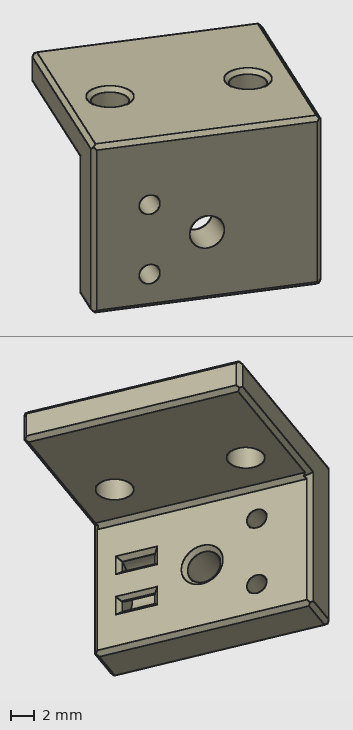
import cadquery as cq

LENGTH_X = 18.49
WIDTH_Y = 20.0
HEIGHT_Z = 15.8
PLATE_THICKNESS = 3.0
WALL_THICKNESS = 4.0
BREAK = 0.4

WALL_FACE_X = LENGTH_X - WALL_THICKNESS
WALL_MID_Z = -(PLATE_THICKNESS + HEIGHT_Z) / 2

PLATE_HOLE_DIAMETER = 3.2
PLATE_HOLE_X = 10.0
PLATE_HOLE_SPACING = 12.0

CENTRE_HOLE_DIAMETER = 3.0
SMALL_HOLE_DIAMETER = 1.8
SMALL_HOLE_Y = -5.0
SMALL_HOLE_SPACING = 6.5

CHANNEL_Y = 6.0
CHANNEL_WIDTH = 3.0
CHANNEL_GAP = 1.0
CHANNEL_MID_RADIUS = 2.0


def chamfered_section(plane, axis, width, height):
    """Bar along the given axis, longer than the part: a rectangle with its four corners chamfered."""
    bar = cq.Workplane(plane).rect(width, height).extrude(WIDTH_Y, both=True)
    return bar.edges("|" + axis).chamfer(BREAK)


def chamfered_block(size_x, size_y, size_z):
    """Centred block whose edge chamfers meet in a point at each corner."""
    along_z = chamfered_section("XY", "Z", size_x, size_y)
    along_y = chamfered_section("XZ", "Y", size_x, size_z)
    along_x = chamfered_section("YZ", "X", size_y, size_z)
    return along_z.intersect(along_y).intersect(along_x)


def make_body():
    """Plate and wall blocks sharing the +X top edge, with the inner corner filled by a chamfer."""
    plate = chamfered_block(LENGTH_X, WIDTH_Y, PLATE_THICKNESS)
    plate = plate.translate((LENGTH_X / 2, 0, -PLATE_THICKNESS / 2))
    wall = chamfered_block(WALL_THICKNESS, WIDTH_Y, HEIGHT_Z)
    wall = wall.translate((WALL_FACE_X + WALL_THICKNESS / 2, 0, -HEIGHT_Z / 2))
    inner_edge = cq.selectors.NearestToPointSelector((WALL_FACE_X, 0, -PLATE_THICKNESS))
    return plate.union(wall).clean().edges(inner_edge).chamfer(BREAK)


def plate_hole(y):
    """Vertical cutter with a conical mouth at the plate's top face."""
    radius = PLATE_HOLE_DIAMETER / 2
    top = cq.Workplane("XY").center(PLATE_HOLE_X, y)
    bore = top.circle(radius).extrude(-PLATE_THICKNESS)
    mouth = top.circle(radius + BREAK).workplane(offset=-BREAK).circle(radius).loft()
    return bore.union(mouth)


def wall_plane(y, z):
    """Workplane on the wall's -X face, local axes along Y and Z, normal into the wall."""
    return cq.Workplane("YZ", origin=(WALL_FACE_X, y, z))


def wall_bore(diameter, y, z):
    return wall_plane(y, z).circle(diameter / 2).extrude(WALL_THICKNESS)


def centre_hole():
    """Horizontal cutter with a conical mouth at the wall's -X face."""
    radius = CENTRE_HOLE_DIAMETER / 2
    face = wall_plane(0, WALL_MID_Z)
    mouth = face.circle(radius + BREAK).workplane(offset=BREAK).circle(radius).loft()
    return wall_bore(CENTRE_HOLE_DIAMETER, 0, WALL_MID_Z).union(mouth)


def strap_channel():
    """Ring cutter, half of it inside the wall, with a tapered mouth at each end of the tunnel."""
    outer_radius = CHANNEL_MID_RADIUS + CHANNEL_GAP / 2
    inner_radius = CHANNEL_MID_RADIUS - CHANNEL_GAP / 2
    channel = (
        cq.Workplane("XZ", origin=(WALL_FACE_X, CHANNEL_Y, WALL_MID_Z))
        .circle(outer_radius)
        .circle(inner_radius)
        .extrude(CHANNEL_WIDTH / 2, both=True)
    )
    for side in (-1, 1):
        mouth = (
            wall_plane(CHANNEL_Y, WALL_MID_Z + side * CHANNEL_MID_RADIUS)
            .rect(CHANNEL_WIDTH + 2 * BREAK, CHANNEL_GAP + 2 * BREAK)
            .workplane(offset=BREAK)
            .rect(CHANNEL_WIDTH, CHANNEL_GAP)
            .loft()
        )
        channel = channel.union(mouth)
    return channel


result = make_body()
for side in (-1, 1):
    result = result.cut(plate_hole(side * PLATE_HOLE_SPACING / 2))
    small_hole_z = WALL_MID_Z + side * SMALL_HOLE_SPACING / 2
    result = result.cut(wall_bore(SMALL_HOLE_DIAMETER, SMALL_HOLE_Y, small_hole_z))
result = result.cut(centre_hole())
result = result.cut(strap_channel())